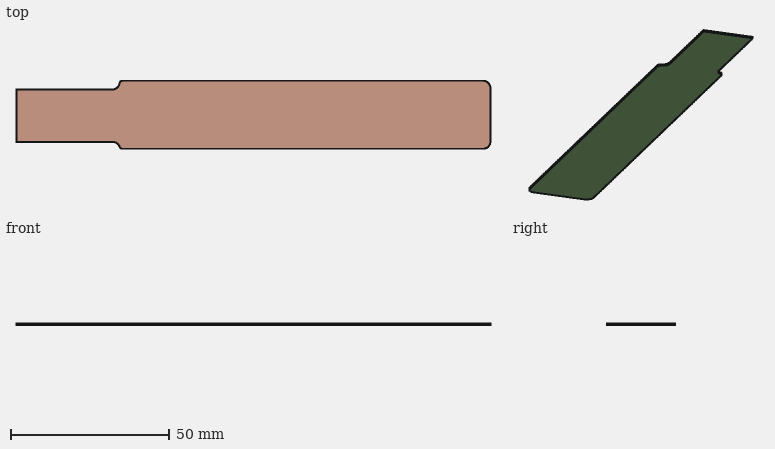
import cadquery as cq
import math

length = 149.6
body_width = 21.5
thickness = 0.55
end_radius = 2.4

tang_width = 16.6
tang_offset_y = -0.3

straight_body_start = 33.5
convex_radius = 1.0
concave_radius = 2.2

tang_end_x = -length / 2
body_start_x = tang_end_x + straight_body_start
body_end_x = length / 2
body_top_y = body_width / 2
body_bottom_y = -body_width / 2
tang_top_y = tang_offset_y + tang_width / 2
tang_bottom_y = tang_offset_y - tang_width / 2


def shoulder_points(body_y, tang_y):
    """Return the tang end of a shoulder and the point where its two arcs meet."""
    step = body_y - tang_y
    radius_sum = convex_radius + concave_radius
    turn = math.acos(1 - abs(step) / radius_sum)
    tang_point = (body_start_x - radius_sum * math.sin(turn), tang_y)
    meeting_point = (
        body_start_x - convex_radius * math.sin(turn),
        body_y - step * convex_radius / radius_sum,
    )
    return tang_point, meeting_point


top_tang_point, top_meeting_point = shoulder_points(body_top_y, tang_top_y)
bottom_tang_point, bottom_meeting_point = shoulder_points(body_bottom_y, tang_bottom_y)

outline = (
    cq.Workplane("XY")
    .workplane(offset=-thickness / 2)
    .moveTo(tang_end_x, tang_bottom_y)
    .lineTo(*bottom_tang_point)
    .radiusArc(bottom_meeting_point, concave_radius)
    .radiusArc((body_start_x, body_bottom_y), -convex_radius)
    .lineTo(body_end_x - end_radius, body_bottom_y)
    .radiusArc((body_end_x, body_bottom_y + end_radius), -end_radius)
    .lineTo(body_end_x, body_top_y - end_radius)
    .radiusArc((body_end_x - end_radius, body_top_y), -end_radius)
    .lineTo(body_start_x, body_top_y)
    .radiusArc(top_meeting_point, -convex_radius)
    .radiusArc(top_tang_point, concave_radius)
    .lineTo(tang_end_x, tang_top_y)
    .close()
)

result = outline.extrude(thickness)